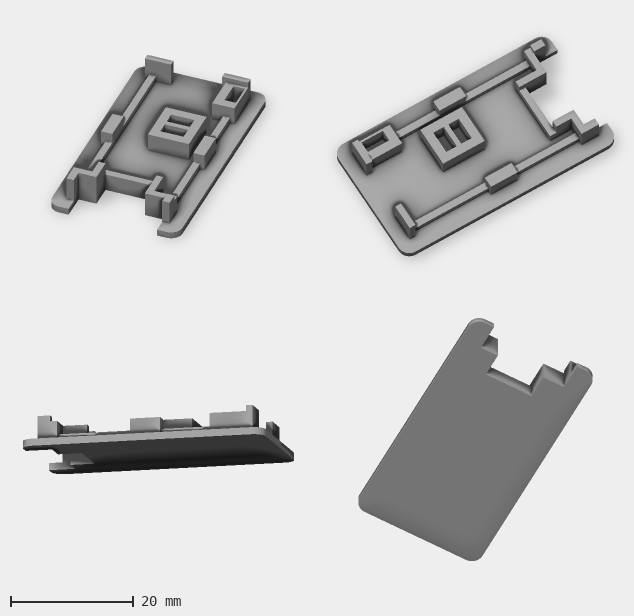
import cadquery as cq

plate_width = 22.8
plate_length = 40.7
plate_thickness = 1.2
corner_radius = 2.0

tall_height = 5.4
block_height = 4.45
guide_height = 4.2
rail_height = 2.35
low_wall_height = 3.15

frame_half_width = 9.05
frame_half_length = 18.05

rail_inner_x = 7.1
rail_width = 1.2
guide_length = 5.1

tab_width = 4.55
tab_thickness = 1.1
tab_front_y = frame_half_length - tab_thickness

notch_half_width = 7.75
notch_step_y = -15.9
notch_left_x = -4.6
notch_right_x = 3.85
notch_back_y = -11.9
wall_thickness = 1.2
wall_step_y = notch_step_y + wall_thickness
wall_back_y = notch_back_y + wall_thickness

pocket_long = 4.05
pocket_short = 2.0
center_block_left_x = -1.5
center_block_front_y = -0.85
center_block_width = 7.15
center_block_length = 7.95
center_pocket_margin = 1.55
corner_block_width = 3.9
corner_block_length = 6.05
corner_pocket_side_margin = 0.35
corner_pocket_back_margin = 0.5


def box(x_min, x_max, y_min, y_max, top, bottom=0.0):
    """Axis-aligned box between the given limits."""
    return cq.Workplane("XY").box(
        x_max - x_min, y_max - y_min, top - bottom, centered=False
    ).translate((x_min, y_min, bottom))


def make_plate():
    """Rounded plate with the two-step notch cut through its front edge."""
    plate = cq.Workplane("XY").box(
        plate_width, plate_length, plate_thickness, centered=(True, True, False)
    ).edges("|Z").fillet(corner_radius)
    front_y = -plate_length / 2
    wide_notch = box(-notch_half_width, notch_half_width, front_y, notch_step_y, plate_thickness)
    deep_notch = box(notch_left_x, notch_right_x, front_y, notch_back_y, plate_thickness)
    return plate.cut(wide_notch).cut(deep_notch)


def make_side(side):
    """Rail, guide and back tab of the left half, mirrored for side = 1."""
    rail = box(-rail_inner_x - rail_width, -rail_inner_x, wall_step_y, tab_front_y, rail_height)
    guide = box(-frame_half_width, -rail_inner_x, -guide_length / 2, guide_length / 2, guide_height)
    tab = box(-frame_half_width, -frame_half_width + tab_width, tab_front_y, frame_half_length, tall_height)
    left = rail.union(guide).union(tab)
    return left.mirror("YZ") if side > 0 else left


def make_notch_wall():
    """Wall following the notch, tall on the left and lower on the right."""
    left_outer_x = notch_left_x - wall_thickness
    right_outer_x = notch_right_x + wall_thickness
    back = box(left_outer_x, notch_right_x, notch_back_y, wall_back_y, low_wall_height)
    left_arm = box(left_outer_x, notch_left_x, notch_step_y, notch_back_y, tall_height)
    left_step = box(-frame_half_width, notch_left_x, notch_step_y, wall_step_y, tall_height)
    left_end = box(-frame_half_width, -notch_half_width, -frame_half_length, wall_step_y, tall_height)
    right_arm = box(notch_right_x, right_outer_x, notch_step_y, wall_back_y, block_height)
    right_step = box(notch_right_x, frame_half_width, notch_step_y, wall_step_y, block_height)
    right_end = box(notch_half_width, frame_half_width, -frame_half_length, notch_step_y, tall_height)
    wall = back
    for piece in (left_arm, left_step, left_end, right_arm, right_step, right_end):
        wall = wall.union(piece)
    return wall


def make_center_pockets():
    """Two pockets, one against each end margin of the center block."""
    x_min = center_block_left_x + center_pocket_margin
    front_pocket_y = center_block_front_y + center_pocket_margin
    back_pocket_y = center_block_front_y + center_block_length - center_pocket_margin - pocket_short
    pockets = cq.Workplane("XY")
    for y_min in (front_pocket_y, back_pocket_y):
        pockets = pockets.add(
            box(x_min, x_min + pocket_long, y_min, y_min + pocket_short, block_height, plate_thickness)
        )
    return pockets.combine()


def make_corner_pocket():
    """Pocket near the outer back corner of the corner block."""
    x_max = frame_half_width - corner_pocket_side_margin
    y_max = tab_front_y - corner_pocket_back_margin
    return box(x_max - pocket_short, x_max, y_max - pocket_long, y_max, block_height, plate_thickness)


center_block = box(
    center_block_left_x,
    center_block_left_x + center_block_width,
    center_block_front_y,
    center_block_front_y + center_block_length,
    block_height,
)
corner_block = box(
    frame_half_width - corner_block_width,
    frame_half_width,
    tab_front_y - corner_block_length,
    tab_front_y,
    block_height,
)

result = make_plate().union(make_notch_wall())
for side in (-1, 1):
    result = result.union(make_side(side))
result = result.union(center_block).union(corner_block)
result = result.cut(make_center_pockets()).cut(make_corner_pocket())